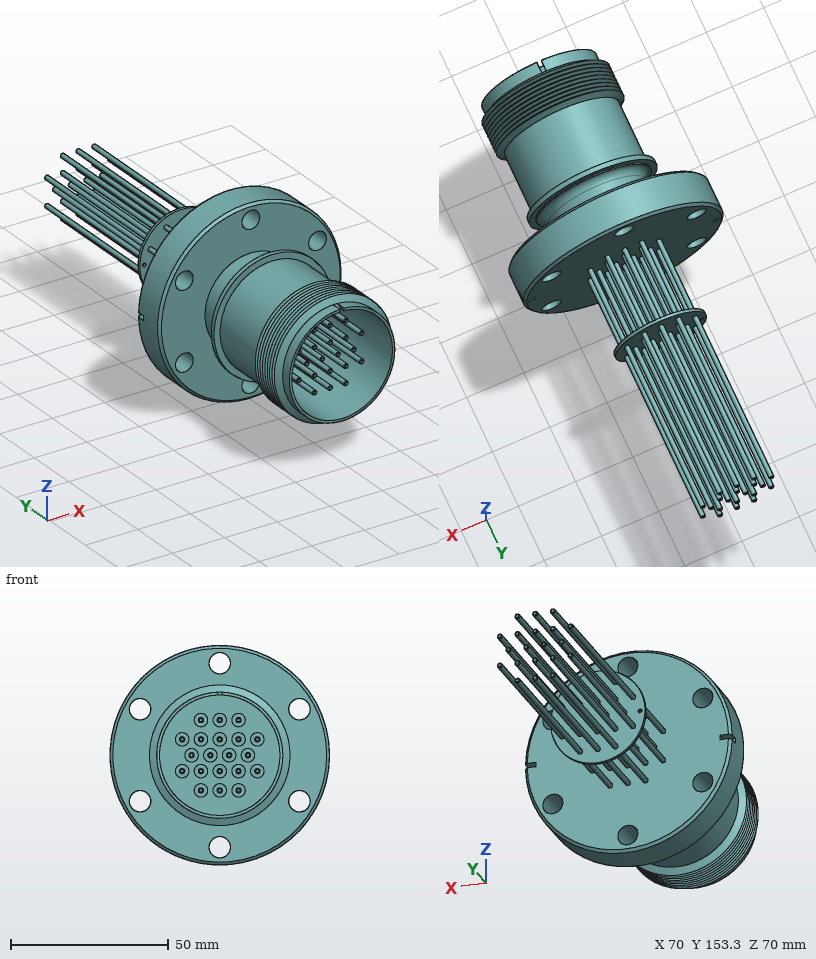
import cadquery as cq
import math

TOTAL_LENGTH = 153.3

FLANGE_RADIUS = 35.0
FLANGE_THICKNESS = 12.9
FLANGE_CHAMFER = 0.9
BOLT_COUNT = 6
BOLT_CIRCLE_RADIUS = 29.3
BOLT_HOLE_RADIUS = 3.4
LEAK_GROOVE_WIDTH = 1.5
LEAK_GROOVE_LENGTH = 3.8
LEAK_GROOVE_DEPTH = 3.8

NECK_RADIUS = 17.5
BARREL_RADIUS = 20.1
BORE_RADIUS = 19.2
COVE_RADIUS = BARREL_RADIUS - NECK_RADIUS
BARREL_START = 23.5
COLLAR_RADIUS = 22.4
COLLAR_START = 23.9
COLLAR_END = 25.6
RIM_END = 65.8
RIM_SLOT_WIDTH = 1.5
RIM_SLOT_RAMP_START = 64.0

THREAD_CREST_RADIUS = 22.4
THREAD_PITCH = 1.4
THREAD_RIDGES = 9
THREAD_START = 48.1
FLANK_SLOPE = math.tan(math.radians(60))
LEAD_LENGTH = (THREAD_CREST_RADIUS - BARREL_RADIUS) / FLANK_SLOPE
THREAD_ROOT_RADIUS = THREAD_CREST_RADIUS - FLANK_SLOPE * THREAD_PITCH / 2
THREAD_END = THREAD_START + 2 * LEAD_LENGTH + (THREAD_RIDGES - 1) * THREAD_PITCH

PIN_RADIUS = 0.85
PIN_TIP_CHAMFER = 0.3
PIN_FRONT = 59.2
PIN_REAR = TOTAL_LENGTH - RIM_END
PIN_SPACING = 6.0
OUTER_ROW_HEIGHT = 11.2
INNER_ROW_HEIGHT = 5.0
PIN_ROWS = (
    (OUTER_ROW_HEIGHT, 3),
    (INNER_ROW_HEIGHT, 5),
    (0.0, 4),
    (-INNER_ROW_HEIGHT, 5),
    (-OUTER_ROW_HEIGHT, 3),
)
SEAL_RADIUS = 2.1
SEAL_RECESS = 0.5
DISC_RADIUS = 16.0
DISC_THICKNESS = 1.0
DISC_CENTRE = 27.7
DISC_HOLE_RADIUS = 0.6
DISC_HOLE_OFFSET = 14.3


def rod(radius, y_start, y_end, x=0.0, z=0.0):
    """Cylinder parallel to Y between two Y positions."""
    axis_point = cq.Workplane("XZ", origin=(x, y_start, z))
    return axis_point.circle(radius).extrude(y_start - y_end)


def pin_positions():
    """Evenly spaced pin centres (x, z), each row centred on the axis."""
    positions = []
    for height, count in PIN_ROWS:
        first_x = -PIN_SPACING * (count - 1) / 2
        for column in range(count):
            positions.append((first_x + column * PIN_SPACING, height))
    return positions


def make_flange():
    flange = rod(FLANGE_RADIUS, -FLANGE_THICKNESS, 0).edges().chamfer(FLANGE_CHAMFER)
    for index in range(BOLT_COUNT):
        angle = math.radians(90 + index * 360 / BOLT_COUNT)
        x = BOLT_CIRCLE_RADIUS * math.cos(angle)
        z = BOLT_CIRCLE_RADIUS * math.sin(angle)
        flange = flange.cut(rod(BOLT_HOLE_RADIUS, -FLANGE_THICKNESS, 0, x, z))
    groove = cq.Workplane("XY").box(2 * LEAK_GROOVE_DEPTH, 2 * LEAK_GROOVE_LENGTH, LEAK_GROOVE_WIDTH)
    for side in (-1, 1):
        flange = flange.cut(groove.translate((side * FLANGE_RADIUS, 0, 0)))
    return flange


def make_body():
    """Neck, cove, collar, threaded barrel and rim as one revolved outline, then bored."""
    cove_centre = (BARREL_RADIUS, -(BARREL_START - COVE_RADIUS))
    cove_reach = COVE_RADIUS * math.sqrt(0.5)
    cove_middle = (cove_centre[0] - cove_reach, cove_centre[1] - cove_reach)
    outline = (
        cq.Workplane("XY")
        .moveTo(0, -FLANGE_THICKNESS)
        .lineTo(NECK_RADIUS, -FLANGE_THICKNESS)
        .lineTo(NECK_RADIUS, cove_centre[1])
        .threePointArc(cove_middle, (BARREL_RADIUS, -BARREL_START))
        .lineTo(BARREL_RADIUS, -COLLAR_START)
        .lineTo(COLLAR_RADIUS, -COLLAR_START)
        .lineTo(COLLAR_RADIUS, -COLLAR_END)
        .lineTo(BARREL_RADIUS, -COLLAR_END)
        .lineTo(BARREL_RADIUS, -THREAD_START)
    )
    for ridge in range(THREAD_RIDGES):
        crest = THREAD_START + LEAD_LENGTH + ridge * THREAD_PITCH
        if ridge > 0:
            outline = outline.lineTo(THREAD_ROOT_RADIUS, -(crest - THREAD_PITCH / 2))
        outline = outline.lineTo(THREAD_CREST_RADIUS, -crest)
    outline = (
        outline.lineTo(BARREL_RADIUS, -THREAD_END)
        .lineTo(BARREL_RADIUS, -RIM_END)
        .lineTo(0, -RIM_END)
        .close()
    )
    body = outline.revolve(360, (0, 0, 0), (0, 1, 0))
    body = body.cut(rod(BORE_RADIUS, -RIM_END, -COLLAR_END))

    slot = (
        cq.Workplane("YZ", origin=(-RIM_SLOT_WIDTH / 2, 0, 0))
        .moveTo(-RIM_END, 0)
        .lineTo(-RIM_SLOT_RAMP_START, 0)
        .lineTo(-RIM_SLOT_RAMP_START, BORE_RADIUS)
        .lineTo(-THREAD_END, BARREL_RADIUS)
        .lineTo(-RIM_END, BARREL_RADIUS)
        .close()
        .extrude(RIM_SLOT_WIDTH)
    )
    body = body.cut(slot)

    for x, z in pin_positions():
        body = body.cut(rod(SEAL_RADIUS, -COLLAR_END, SEAL_RECESS - COLLAR_END, x, z))
    return body


def make_disc():
    half_thickness = DISC_THICKNESS / 2
    rear = DISC_CENTRE + half_thickness
    front = DISC_CENTRE - half_thickness
    disc = rod(DISC_RADIUS, front, rear)
    return disc.cut(rod(DISC_HOLE_RADIUS, front, rear, -DISC_HOLE_OFFSET))


result = make_flange().union(make_body()).union(make_disc())
for pin_x, pin_z in pin_positions():
    pin = rod(PIN_RADIUS, -PIN_FRONT, PIN_REAR, pin_x, pin_z)
    result = result.union(pin.edges().chamfer(PIN_TIP_CHAMFER))